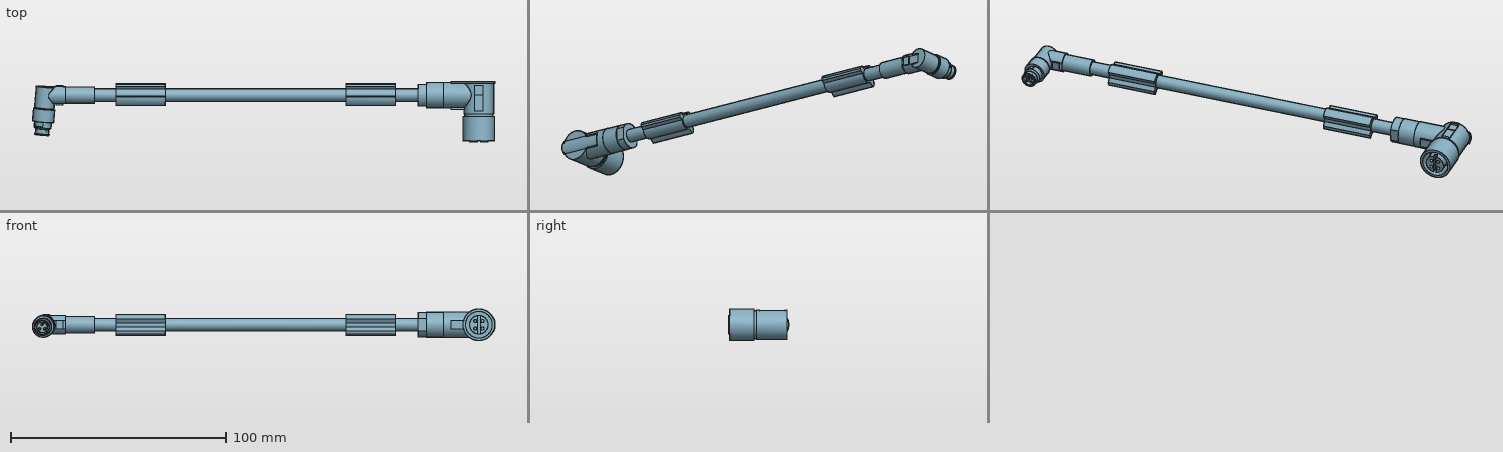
import cadquery as cq
import math


CABLE_RADIUS = 3.0
CABLE_START_X = 8.0
CABLE_END_X = 185.0

SMALL_AXIS_X = 6.07
SMALL_SLEEVE_RADIUS = 3.85
SMALL_SLEEVE_END_X = 29.0
SMALL_NECK_RADIUS = 4.4
SMALL_NECK_END_X = 15.5
SMALL_NECK_HALF_WIDTH = 3.95
SMALL_GRIP_START_X = 11.0
SMALL_GRIP_END_X = 14.2
SMALL_GRIP_HALF_SPAN = 4.6
GRIP_HALF_HEIGHT = 2.0

SMALL_YAW = -5.0
SMALL_PITCH = 4.0
SMALL_CAP_Y = 3.8
SMALL_HEAD_RADIUS = 4.6
SMALL_HEAD_END = 6.0
SMALL_WAIST_RADIUS = 4.3
SMALL_WAIST_END = 6.5
SMALL_NUT_RADIUS = 5.0
SMALL_NUT_END = 12.4
SMALL_COLLAR_RADIUS = 4.0
SMALL_COLLAR_END = 15.8
SMALL_COLLAR_CHAMFER = 0.7
SMALL_TIP_RADIUS = 3.1
SMALL_TIP_END = 18.0
SMALL_LIP_RADIUS = 3.4
SMALL_LIP_END = 18.6
SMALL_BORE_RADIUS = 2.5
SMALL_BORE_DEPTH = 2.2
SMALL_WINDOW_LENGTH = 2.2
SMALL_WINDOW_WIDTH = 4.0
SMALL_WINDOW_DEPTH = 0.4
SMALL_PIN_COUNT = 3
SMALL_PIN_RADIUS = 0.5
SMALL_PIN_CIRCLE_RADIUS = 1.4
SMALL_PIN_START_ANGLE = 90
SMALL_PIN_ROOT = 1.0

CLIP_STARTS_X = (38.8, 145.7)
CLIP_LENGTH = 23.0
CLIP_RING_RADIUS = 3.75

CLIP_PLATE_ROOT = (-0.4, 0.0)
CLIP_PLATE_END = (-0.4, 4.1)
CLIP_PLATE_CREST = (-0.9, 4.8)
CLIP_PLATE_MIDDLE = (-3.1, 4.2)
CLIP_PLATE_RIM = (-4.9, 2.7)
CLIP_PLATE_UNDERSIDE = (-3.5, 0.4)
CLIP_LOWER_LIP = ((-2.5, -1.0), (-3.6, -1.0), (-4.9, -2.8), (-4.6, -4.4), (-3.8, -5.0), (-1.5, -3.0))
CLIP_UPPER_LIP = ((2.5, 2.0), (4.0, 3.2), (4.9, 2.7), (5.5, 1.6), (5.2, 0.6), (3.0, -0.8))

LARGE_REAR_START_X = 179.2
LARGE_REAR_RADIUS = 5.8
LARGE_MIDDLE_RADIUS = 5.9
LARGE_FLAT_END_X = 183.1
LARGE_FLAT_HALF_SPAN = 5.05
LARGE_BODY_START_X = 190.9
LARGE_BODY_RADIUS = 6.0
LARGE_GRIP_START_X = 194.4
LARGE_GRIP_HALF_SPAN = 6.7

OVERALL_LENGTH = 214.98
LARGE_NUT_RADIUS = 14.77 / 2
LARGE_AXIS_X = 207.4
LARGE_HEAD_RADIUS = 6.95
LARGE_HEAD_TOP_Y = 5.5
LARGE_HEAD_END_Y = -8.7
LARGE_WAIST_RADIUS = 6.6
LARGE_NUT_START_Y = -9.8
LARGE_NUT_END_Y = -21.2
LARGE_NUT_BORE_RADIUS = 6.2
LARGE_NUT_BORE_DEPTH = 9.0
LARGE_INSERT_RADIUS = 4.3
LARGE_INSERT_END_Y = -21.7
LARGE_CONTACT_COUNT = 4
LARGE_CONTACT_RADIUS = 0.7
LARGE_CONTACT_CIRCLE_RADIUS = 2.4
LARGE_CONTACT_START_ANGLE = 45
LARGE_CONTACT_DEPTH = 4.0
LARGE_SLOT_WIDTH = 1.4
LARGE_SLOT_DEPTH = 2.0
LARGE_WINDOW_WIDTH = 4.0
LARGE_WINDOW_TOP_Y = 4.6
LARGE_WINDOW_STEP_Y = 0.0
LARGE_WINDOW_BOTTOM_Y = -7.4
LARGE_WINDOW_DEPTH = 0.7
LARGE_WINDOW_UPPER_DEPTH = 1.0
LARGE_CAP_RADIUS = 6.3
LARGE_CAP_OVERLAP = 0.1


def rod_x(radius, start_x, end_x):
    """Cylinder on the cable axis."""
    return cq.Workplane("YZ").workplane(offset=start_x).circle(radius).extrude(end_x - start_x)


def rod_y(radius, axis_x, top_y, bottom_y, axis_z=0.0):
    """Cylinder parallel to Y, from top_y down to bottom_y."""
    plane = cq.Workplane("XZ", origin=(axis_x, top_y, axis_z))
    return plane.circle(radius).extrude(top_y - bottom_y)


def block(x_range, y_range, z_range):
    """Box given by its limits along each axis."""
    sizes = [high - low for low, high in (x_range, y_range, z_range)]
    lows = (x_range[0], y_range[0], z_range[0])
    return cq.Workplane("XY").box(*sizes, centered=False).translate(lows)


def circle_points(count, radius, start_angle):
    """Evenly spaced points on a circle as pairs of offsets from its centre."""
    angles = [math.radians(start_angle + 360.0 * i / count) for i in range(count)]
    return [(radius * math.cos(a), radius * math.sin(a)) for a in angles]


def make_small_cable_side():
    sleeve = rod_x(SMALL_SLEEVE_RADIUS, SMALL_AXIS_X, SMALL_SLEEVE_END_X)
    neck = rod_x(SMALL_NECK_RADIUS, SMALL_AXIS_X, SMALL_NECK_END_X)
    neck = neck.intersect(block(
        (SMALL_AXIS_X, SMALL_NECK_END_X),
        (-SMALL_NECK_HALF_WIDTH, SMALL_NECK_HALF_WIDTH),
        (-SMALL_NECK_RADIUS, SMALL_NECK_RADIUS),
    ))
    grip = block(
        (SMALL_GRIP_START_X, SMALL_GRIP_END_X),
        (-SMALL_GRIP_HALF_SPAN, SMALL_GRIP_HALF_SPAN),
        (-GRIP_HALF_HEIGHT, GRIP_HALF_HEIGHT),
    )
    return sleeve.union(neck).union(grip)


def make_small_mating_side():
    steps = (
        (SMALL_HEAD_RADIUS, SMALL_HEAD_END),
        (SMALL_WAIST_RADIUS, SMALL_WAIST_END),
        (SMALL_NUT_RADIUS, SMALL_NUT_END),
        (SMALL_COLLAR_RADIUS, SMALL_COLLAR_END),
        (SMALL_TIP_RADIUS, SMALL_TIP_END),
        (SMALL_LIP_RADIUS, SMALL_LIP_END),
    )
    plug = None
    top_y = SMALL_CAP_Y
    for radius, end in steps:
        step = rod_y(radius, SMALL_AXIS_X, top_y, -end)
        if end == SMALL_COLLAR_END:
            step = step.faces("<Y").chamfer(SMALL_COLLAR_CHAMFER)
        plug = step if plug is None else plug.union(step)
        top_y = -end

    window = block(
        (SMALL_AXIS_X - SMALL_WINDOW_WIDTH, SMALL_AXIS_X),
        (-SMALL_NUT_END - SMALL_WINDOW_LENGTH, -SMALL_NUT_END),
        (0, SMALL_COLLAR_RADIUS),
    )
    window_floor = rod_y(
        SMALL_COLLAR_RADIUS - SMALL_WINDOW_DEPTH, SMALL_AXIS_X, SMALL_CAP_Y, -SMALL_LIP_END)
    plug = plug.cut(window.cut(window_floor))

    chamber_floor_y = SMALL_BORE_DEPTH - SMALL_LIP_END
    pin_root_y = chamber_floor_y + SMALL_PIN_ROOT
    plug = plug.cut(rod_y(SMALL_BORE_RADIUS, SMALL_AXIS_X, chamber_floor_y, -SMALL_LIP_END))
    for dx, dz in circle_points(SMALL_PIN_COUNT, SMALL_PIN_CIRCLE_RADIUS, SMALL_PIN_START_ANGLE):
        pin = rod_y(SMALL_PIN_RADIUS, SMALL_AXIS_X + dx, pin_root_y, -SMALL_LIP_END, dz)
        plug = plug.union(pin)

    pivot = (SMALL_AXIS_X, 0, 0)
    plug = plug.rotate(pivot, (SMALL_AXIS_X, 0, 1), SMALL_YAW)
    return plug.rotate(pivot, (SMALL_AXIS_X + 1, 0, 0), SMALL_PITCH)


def make_clip(start_x):
    """Ring round the cable with a curved label plate and two side lips."""
    plane = cq.Workplane("YZ").workplane(offset=start_x)
    ring = plane.circle(CLIP_RING_RADIUS).extrude(CLIP_LENGTH)
    plate = (
        plane.moveTo(*CLIP_PLATE_ROOT)
        .lineTo(*CLIP_PLATE_END)
        .lineTo(*CLIP_PLATE_CREST)
        .threePointArc(CLIP_PLATE_MIDDLE, CLIP_PLATE_RIM)
        .lineTo(*CLIP_PLATE_UNDERSIDE)
        .close()
        .extrude(CLIP_LENGTH)
    )
    clip = ring.union(plate)
    for lip_points in (CLIP_LOWER_LIP, CLIP_UPPER_LIP):
        clip = clip.union(plane.polyline(lip_points).close().extrude(CLIP_LENGTH))
    return clip


def make_large_cable_side():
    rear = rod_x(LARGE_REAR_RADIUS, LARGE_REAR_START_X, LARGE_FLAT_END_X)
    for side in (-1, 1):
        flat_limits = sorted((side * LARGE_FLAT_HALF_SPAN, side * LARGE_REAR_RADIUS))
        rear = rear.cut(block(
            (LARGE_REAR_START_X, LARGE_FLAT_END_X),
            flat_limits,
            (-LARGE_REAR_RADIUS, LARGE_REAR_RADIUS),
        ))
    middle = rod_x(LARGE_MIDDLE_RADIUS, LARGE_FLAT_END_X, LARGE_BODY_START_X)
    body = rod_x(LARGE_BODY_RADIUS, LARGE_BODY_START_X, LARGE_AXIS_X)
    grip = block(
        (LARGE_GRIP_START_X, LARGE_AXIS_X),
        (-LARGE_GRIP_HALF_SPAN, 0),
        (-GRIP_HALF_HEIGHT, GRIP_HALF_HEIGHT),
    )
    return rear.union(middle).union(body).union(grip)


def make_large_mating_side():
    head = rod_y(LARGE_HEAD_RADIUS, LARGE_AXIS_X, LARGE_HEAD_TOP_Y, LARGE_HEAD_END_Y)
    waist = rod_y(LARGE_WAIST_RADIUS, LARGE_AXIS_X, LARGE_HEAD_END_Y, LARGE_NUT_START_Y)
    nut = rod_y(LARGE_NUT_RADIUS, LARGE_AXIS_X, LARGE_NUT_START_Y, LARGE_NUT_END_Y)
    bore_floor_y = LARGE_NUT_END_Y + LARGE_NUT_BORE_DEPTH
    nut = nut.cut(rod_y(LARGE_NUT_BORE_RADIUS, LARGE_AXIS_X, bore_floor_y, LARGE_NUT_END_Y))

    insert = rod_y(LARGE_INSERT_RADIUS, LARGE_AXIS_X, LARGE_NUT_START_Y, LARGE_INSERT_END_Y)
    contact_floor_y = LARGE_INSERT_END_Y + LARGE_CONTACT_DEPTH
    contacts = circle_points(LARGE_CONTACT_COUNT, LARGE_CONTACT_CIRCLE_RADIUS, LARGE_CONTACT_START_ANGLE)
    for dx, dz in contacts:
        insert = insert.cut(
            rod_y(LARGE_CONTACT_RADIUS, LARGE_AXIS_X + dx, contact_floor_y, LARGE_INSERT_END_Y, dz))
    insert = insert.cut(block(
        (LARGE_AXIS_X - LARGE_SLOT_WIDTH / 2, LARGE_AXIS_X + LARGE_SLOT_WIDTH / 2),
        (LARGE_INSERT_END_Y, LARGE_INSERT_END_Y + LARGE_SLOT_DEPTH),
        (-LARGE_INSERT_RADIUS, LARGE_INSERT_RADIUS),
    ))
    return head.union(waist).union(nut).union(insert)


def make_head_window():
    """Pocket in the +Z side of the large head, deeper in its upper part."""
    x_range = (LARGE_AXIS_X - LARGE_WINDOW_WIDTH / 2, LARGE_AXIS_X + LARGE_WINDOW_WIDTH / 2)
    lower = block(
        x_range,
        (LARGE_WINDOW_BOTTOM_Y, LARGE_WINDOW_STEP_Y),
        (LARGE_HEAD_RADIUS - LARGE_WINDOW_DEPTH, LARGE_HEAD_RADIUS),
    )
    upper = block(
        x_range,
        (LARGE_WINDOW_STEP_Y, LARGE_WINDOW_TOP_Y),
        (LARGE_HEAD_RADIUS - LARGE_WINDOW_UPPER_DEPTH, LARGE_HEAD_RADIUS),
    )
    return lower.union(upper)


def make_large_cap():
    """Rounded rib on the +Y side of the large head, running past the head towards +X."""
    rib = rod_x(LARGE_CAP_RADIUS, LARGE_GRIP_START_X, OVERALL_LENGTH)
    rib = rib.intersect(block(
        (LARGE_GRIP_START_X, OVERALL_LENGTH),
        (LARGE_HEAD_TOP_Y - LARGE_CAP_OVERLAP, LARGE_CAP_RADIUS),
        (-LARGE_CAP_RADIUS, LARGE_CAP_RADIUS),
    ))
    rounded_end = rod_y(OVERALL_LENGTH - LARGE_AXIS_X, LARGE_AXIS_X, LARGE_CAP_RADIUS, 0)
    straight_part = block(
        (LARGE_GRIP_START_X, LARGE_AXIS_X),
        (0, LARGE_CAP_RADIUS),
        (-LARGE_CAP_RADIUS, LARGE_CAP_RADIUS),
    )
    return rib.intersect(rounded_end.union(straight_part))


result = rod_x(CABLE_RADIUS, CABLE_START_X, CABLE_END_X)
result = result.union(make_small_cable_side()).union(make_small_mating_side())
for clip_start_x in CLIP_STARTS_X:
    result = result.union(make_clip(clip_start_x))
result = result.union(make_large_cable_side()).union(make_large_mating_side())
result = result.cut(make_head_window()).union(make_large_cap())